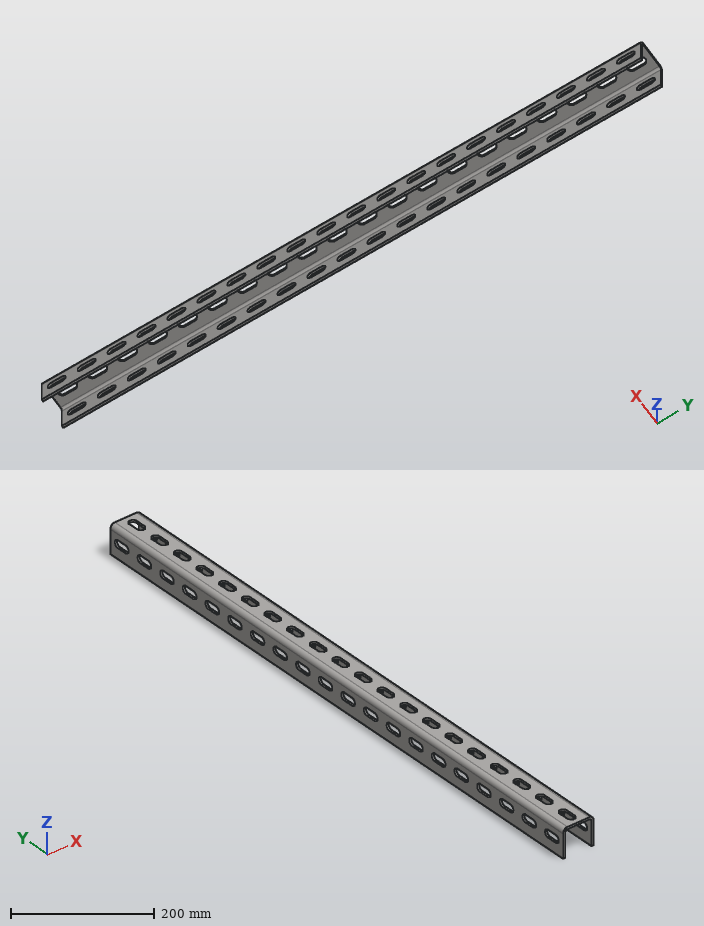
import cadquery as cq

width = 55.0
height = 50.0
length = 1000.0
thickness = 4.0
inner_bend_radius = 4.0
outer_bend_radius = inner_bend_radius + thickness

slot_pitch = 50.0
slot_length = 30.0
slot_width = 13.0
slot_count = round(length / slot_pitch)
flange_slot_height = height / 2


def rounded_bar(bar_width, bar_height, bend_radius):
    """Bar along Y, standing on Z = 0, with its two upper long edges rounded."""
    bar = cq.Workplane("XY").box(bar_width, length, bar_height, centered=(True, True, False))
    return bar.edges("|Y and >Z").fillet(bend_radius)


def channel():
    """Bent sheet of constant thickness: a web on top and two flanges."""
    outside = rounded_bar(width, height, outer_bend_radius)
    inside = rounded_bar(width - 2 * thickness, height - thickness, inner_bend_radius)
    return outside.cut(inside)


def slot_row(start, direction, depth):
    """Row of slot cutters spread evenly along Y about start, each reaching depth along direction."""
    plane = cq.Plane(origin=start, xDir=(0, 1, 0), normal=direction)
    row = cq.Workplane(plane).rarray(slot_pitch, 1, slot_count, 1)
    return row.slot2D(slot_length, slot_width).extrude(depth)


web_slots = slot_row((0, 0, height - thickness), (0, 0, 1), thickness)
flange_slots = slot_row((-width / 2, 0, flange_slot_height), (1, 0, 0), width)

result = channel().cut(web_slots).cut(flange_slots)